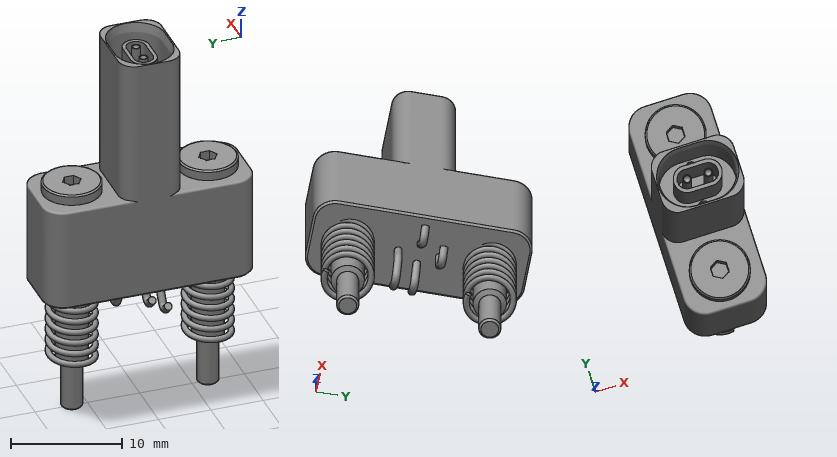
import cadquery as cq
import math

BODY_WIDTH = 7.7
BLOCK_LENGTH = 20.0
BLOCK_HEIGHT = 10.0
BLOCK_CORNER_RADIUS = 2.0
BLOCK_TOP_FILLET = 0.2
BLOCK_BOTTOM_CHAMFER = 0.2
TOWER_LENGTH = 5.8
TOWER_TOP = 24.0
TOWER_CORNER_RADIUS = 1.5

POWER_PIN_OFFSET = 1.0

CAVITY_RADIUS = 2.55
CAVITY_DEPTH = 6.0
LEAD_IN_DEPTH = 0.9
LEAD_IN_GROWTH = 0.2
CAVITY_FLOOR = TOWER_TOP - CAVITY_DEPTH

SHROUD_RADIUS = 1.25
SHROUD_WALL = 0.35
SHROUD_TOP = TOWER_TOP - LEAD_IN_DEPTH

PIN_RADIUS = 0.4
PIN_CUP_RADIUS = 0.32
SIDE_PIN_OFFSET = 1.88
SIDE_HOLE_RADIUS = 0.5
SIDE_HOLE_DEPTH = 1.5
SIDE_PIN_DROP = 0.4
PIN_ROOT_Z = CAVITY_FLOOR - SIDE_HOLE_DEPTH

TAIL_RADIUS = 0.36
TAIL_KNEE_RADIUS = 1.0
TAIL_KNEE_ANGLE = math.radians(30)
TAIL_HOOK_RADIUS = 0.6
TAIL_HOOK_RISE_ANGLE = math.radians(45)
TAIL_SLOPE_LENGTH = 1.37
TAIL_END_LENGTH = 0.83
POWER_TAIL_KNEE_Z = 0.24
SIDE_TAIL_KNEE_Z = -1.3
TAIL_ROOT_Z = 1.0

SCREW_OFFSET = 6.5
HEAD_RADIUS = 2.75
HEAD_HEIGHT = 1.0
HEAD_CHAMFER = 0.15
HEX_ACROSS_FLATS = 1.5
HEX_DEPTH = 1.0
SLEEVE_RADIUS = 1.5
SLEEVE_BOTTOM = -7.7
SLEEVE_TAPER_HEIGHT = 0.2
ROD_RADIUS = 1.0
ROD_BOTTOM = -12.5
ROD_CHAMFER = 0.2

SPRING_OUTER_RADIUS = 2.4
WIRE_RADIUS = 0.28
SPRING_PITCH = 1.108
SPRING_END_Z = -7.35
SPRING_END_ANGLE = 285.0
SPRING_TURNS = 7.0


def rounded_plan(width, length, radius, bottom, height):
    """Upright prism with rounded vertical edges, centred on the Z axis."""
    prism = cq.Workplane("XY").workplane(offset=bottom).rect(width, length).extrude(height)
    return prism.edges("|Z").fillet(radius)


def oval(end_radius, bottom, height, growth=0.0):
    """Upright slot-shaped prism along X, widening by growth on every side toward its top."""
    length = 2 * (POWER_PIN_OFFSET + end_radius)
    taper = math.degrees(math.atan2(growth, height))
    plane = cq.Workplane("XY").workplane(offset=bottom)
    return plane.slot2D(length, 2 * end_radius).extrude(height, taper=-taper)


def cylinder(x, y, radius, bottom, top):
    plane = cq.Workplane("XY").workplane(offset=bottom)
    return plane.center(x, y).circle(radius).extrude(top - bottom)


def make_body():
    block = rounded_plan(BODY_WIDTH, BLOCK_LENGTH, BLOCK_CORNER_RADIUS, 0, BLOCK_HEIGHT)
    block = block.faces("<Z").chamfer(BLOCK_BOTTOM_CHAMFER)
    block = block.faces(">Z").edges().fillet(BLOCK_TOP_FILLET)
    tower_bottom = BLOCK_HEIGHT / 2
    tower = rounded_plan(
        BODY_WIDTH, TOWER_LENGTH, TOWER_CORNER_RADIUS, tower_bottom, TOWER_TOP - tower_bottom
    )
    return block.union(tower)


def make_cavity():
    bore = oval(CAVITY_RADIUS, CAVITY_FLOOR, CAVITY_DEPTH)
    lead_in = oval(CAVITY_RADIUS, TOWER_TOP - LEAD_IN_DEPTH, LEAD_IN_DEPTH, LEAD_IN_GROWTH)
    return bore.union(lead_in)


def make_shroud():
    height = SHROUD_TOP - CAVITY_FLOOR
    outer = oval(SHROUD_RADIUS, CAVITY_FLOOR, height)
    return outer.cut(oval(SHROUD_RADIUS - SHROUD_WALL, CAVITY_FLOOR, height))


def make_pin(x, y, top):
    """Contact pin with a spherical cup in its tip."""
    cup = cq.Workplane("XY").sphere(PIN_CUP_RADIUS).translate((x, y, top))
    return cylinder(x, y, PIN_RADIUS, PIN_ROOT_Z, top).cut(cup)


def make_tail(x, y, knee_z, side):
    """Pin tail that leans out toward side (+1 or -1 in X), then hooks back upward."""
    lean = TAIL_KNEE_ANGLE

    def knee_point(angle):
        across = TAIL_KNEE_RADIUS * (1 - math.cos(angle))
        return across, knee_z - TAIL_KNEE_RADIUS * math.sin(angle)

    knee_end = knee_point(lean)
    hook_start = (
        knee_end[0] + TAIL_SLOPE_LENGTH * math.sin(lean),
        knee_end[1] - TAIL_SLOPE_LENGTH * math.cos(lean),
    )
    hook_center = (
        hook_start[0] + TAIL_HOOK_RADIUS * math.cos(lean),
        hook_start[1] + TAIL_HOOK_RADIUS * math.sin(lean),
    )

    def hook_point(angle):
        return (
            hook_center[0] + TAIL_HOOK_RADIUS * math.sin(angle),
            hook_center[1] - TAIL_HOOK_RADIUS * math.cos(angle),
        )

    rise = TAIL_HOOK_RISE_ANGLE
    hook_end = hook_point(rise)
    tip = (
        hook_end[0] + TAIL_END_LENGTH * math.cos(rise),
        hook_end[1] + TAIL_END_LENGTH * math.sin(rise),
    )

    def place(point):
        return x + side * point[0], point[1]

    path = (
        cq.Workplane("XZ", origin=(0, y, 0))
        .moveTo(x, TAIL_ROOT_Z)
        .lineTo(x, knee_z)
        .threePointArc(place(knee_point(lean / 2)), place(knee_end))
        .lineTo(*place(hook_start))
        .threePointArc(place(hook_point(0)), place(hook_end))
        .lineTo(*place(tip))
    )
    section = cq.Workplane("XY", origin=(x, y, TAIL_ROOT_Z)).circle(TAIL_RADIUS)
    return section.sweep(path)


def make_screw():
    """Screw on the Z axis as two pieces: head on the block, sleeve and rod below it."""
    head = cylinder(0, 0, HEAD_RADIUS, BLOCK_HEIGHT, BLOCK_HEIGHT + HEAD_HEIGHT)
    head = head.faces(">Z").chamfer(HEAD_CHAMFER)
    hex_diameter = HEX_ACROSS_FLATS / math.cos(math.pi / 6)
    socket = (
        cq.Workplane("XY")
        .workplane(offset=BLOCK_HEIGHT + HEAD_HEIGHT - HEX_DEPTH)
        .transformed(rotate=(0, 0, 90))
        .polygon(6, hex_diameter)
        .extrude(HEX_DEPTH)
    )
    sleeve_outline = [
        (0, BLOCK_HEIGHT / 2),
        (SLEEVE_RADIUS, BLOCK_HEIGHT / 2),
        (SLEEVE_RADIUS, SLEEVE_BOTTOM + SLEEVE_TAPER_HEIGHT),
        (ROD_RADIUS, SLEEVE_BOTTOM),
        (0, SLEEVE_BOTTOM),
    ]
    sleeve = cq.Workplane("XZ").polyline(sleeve_outline).close().revolve(360, (0, 0), (0, 1))
    rod = cylinder(0, 0, ROD_RADIUS, ROD_BOTTOM, 0).faces("<Z").chamfer(ROD_CHAMFER)
    return [head.cut(socket), sleeve.union(rod)]


def make_spring():
    """Left-handed coil around the Z axis, its upper turn embedded in the block."""
    radius = SPRING_OUTER_RADIUS - WIRE_RADIUS
    helix = cq.Wire.makeHelix(SPRING_PITCH, SPRING_PITCH * SPRING_TURNS, radius, lefthand=True)
    coil = (
        cq.Workplane("XZ", origin=(radius, 0, 0))
        .circle(WIRE_RADIUS)
        .sweep(cq.Workplane(obj=helix), isFrenet=True)
    )
    return coil.rotate((0, 0, 0), (0, 0, 1), SPRING_END_ANGLE).translate((0, 0, SPRING_END_Z))


result = make_body().cut(make_cavity()).union(make_shroud())

for side in (-1, 1):
    power_x = side * POWER_PIN_OFFSET
    result = result.union(make_pin(power_x, 0, SHROUD_TOP))
    result = result.union(make_tail(power_x, 0, POWER_TAIL_KNEE_Z, side))

    side_y = side * SIDE_PIN_OFFSET
    result = result.cut(cylinder(0, side_y, SIDE_HOLE_RADIUS, PIN_ROOT_Z, CAVITY_FLOOR))
    result = result.union(make_pin(0, side_y, CAVITY_FLOOR - SIDE_PIN_DROP))
    result = result.union(make_tail(0, side_y, SIDE_TAIL_KNEE_Z, side))

    screw_place = (0, side * SCREW_OFFSET, 0)
    for piece in make_screw() + [make_spring()]:
        result = result.union(piece.translate(screw_place))